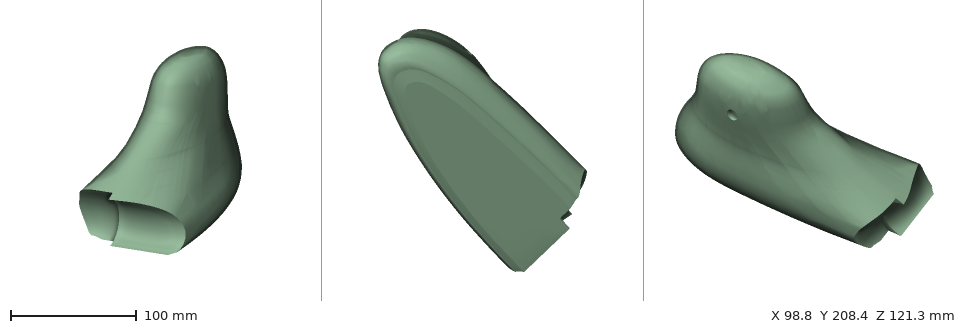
import cadquery as cq
import math


LEVELS = [
    (0.0, 178.0, -45.0, -14.0, 115.0, 52.0, -20.0, 4.0, 4.0),
    (1.5, 190.0, -47.0, -22.5, 118.0, 57.0, -20.0, 4.0, 4.0),
    (5.0, 203.0, -49.0, -30.0, 124.0, 59.8, -20.0, 4.0, 4.0),
    (12.0, 207.4, -49.0, -35.6, 134.0, 61.0, -20.0, 4.0, 4.0),
    (20.0, 207.9, -43.0, -38.1, 137.0, 57.8, -8.0, 8.0, 3.2),
    (28.0, 207.0, -28.0, -38.2, 135.0, 50.4, 14.0, 8.0, 2.4),
    (36.0, 204.8, -8.0, -37.2, 133.0, 43.0, 40.0, 6.0, 1.9),
    (44.0, 201.5, 9.5, -34.8, 132.0, 37.0, 68.0, 3.6, 1.75),
    (52.0, 197.5, 28.0, -32.2, 132.0, 32.3, 90.0, 2.5, 1.7),
    (60.0, 193.8, 44.5, -30.0, 132.0, 28.8, 110.0, 2.2, 1.7),
    (70.0, 190.8, 63.0, -29.2, 133.0, 27.0, 125.0, 2.0, 1.9),
    (78.0, 189.8, 77.5, -28.5, 134.0, 26.0, 132.0, 2.0, 2.05),
    (87.0, 188.9, 87.3, -27.8, 135.0, 25.4, 136.0, 2.0, 2.2),
    (97.0, 187.3, 92.5, -26.3, 137.0, 24.2, 138.0, 2.0, 2.2),
    (106.0, 182.9, 96.8, -24.2, 138.0, 22.3, 139.0, 2.0, 2.2),
    (112.0, 178.0, 102.4, -20.8, 139.0, 18.9, 140.0, 2.0, 2.1),
    (116.0, 172.4, 108.4, -17.2, 140.0, 16.1, 140.0, 2.0, 2.0),
    (119.0, 166.5, 117.0, -12.8, 141.0, 12.8, 141.0, 2.0, 2.0),
    (120.6, 158.5, 124.5, -8.6, 141.5, 9.3, 141.5, 2.0, 2.0),
    (121.23, 150.0, 133.0, -4.0, 141.5, 5.0, 141.5, 2.0, 2.0),
]
SOLE_LEVELS = 2

MIDDLE_X = 1.0
LEFT_HEEL_EXPONENT = 2.0
RIGHT_HEEL_EXPONENT = 1.84
STEPS_PER_QUARTER = 4

STEP_X = -0.8
CUT_Y = -1.8
CUT_Z = 19.6
LEFT_CUT_RADIUS = 25.0
RIGHT_CUT_RADIUS = 20.0
CUT_REACH = 120.0

HOLE_Y = 142.4
HOLE_Z = 91.0
HOLE_DIAMETER = 10.0


def quarter(side_x, side_y, tip_y, exponent):
    """Superellipse from the side point to the tip on the middle line, both ends included."""
    points = []
    for step in range(STEPS_PER_QUARTER + 1):
        angle = 0.5 * math.pi * step / STEPS_PER_QUARTER
        across = abs(math.cos(angle)) ** (2 / exponent)
        along = math.sin(angle) ** (2 / exponent)
        points.append((MIDDLE_X + (side_x - MIDDLE_X) * across, side_y + (tip_y - side_y) * along))
    return points


def outline(level):
    """Closed smooth level curve from the heel tip over the left side, the toe and the right side."""
    z, heel_y, toe_y, left_x, left_y, right_x, right_y, left_toe_exponent, right_toe_exponent = level
    left_heel = quarter(left_x, left_y, heel_y, LEFT_HEEL_EXPONENT)[::-1]
    left_toe = quarter(left_x, left_y, toe_y, left_toe_exponent)
    right_toe = quarter(right_x, right_y, toe_y, right_toe_exponent)[::-1]
    right_heel = quarter(right_x, right_y, heel_y, RIGHT_HEEL_EXPONENT)
    loop = left_heel[:-1] + left_toe[:-1] + right_toe[:-1] + right_heel[:-1]
    edge = cq.Edge.makeSpline([cq.Vector(x, y, z) for x, y in loop], periodic=True)
    return cq.Wire.assembleEdges([edge])


def foot():
    """Body of the last: straight-sided sole edge with the smooth body on top of it."""
    outlines = [outline(level) for level in LEVELS]
    sole = cq.Solid.makeLoft(outlines[:SOLE_LEVELS], True)
    body = cq.Solid.makeLoft(outlines[SOLE_LEVELS - 1 :])
    return cq.Workplane(obj=body).union(cq.Workplane(obj=sole))


def front_cut(radius, direction):
    """Everything in front of the cylinder axis and inside the cylinder, on one side of the step."""
    profile = (
        cq.Workplane("YZ", origin=(STEP_X, CUT_Y, CUT_Z))
        .moveTo(-CUT_REACH, -CUT_REACH)
        .lineTo(0, -CUT_REACH)
        .lineTo(0, -radius)
        .threePointArc((radius, 0), (0, radius))
        .lineTo(0, CUT_REACH)
        .lineTo(-CUT_REACH, CUT_REACH)
        .close()
    )
    return profile.extrude(direction * CUT_REACH)


def pin_hole():
    """Blind hole from the left flank to the plane of the step."""
    start = cq.Workplane("YZ", origin=(STEP_X, HOLE_Y, HOLE_Z))
    return start.circle(HOLE_DIAMETER / 2).extrude(-CUT_REACH)


result = (
    foot()
    .cut(front_cut(LEFT_CUT_RADIUS, -1))
    .cut(front_cut(RIGHT_CUT_RADIUS, 1))
    .cut(pin_hole())
)